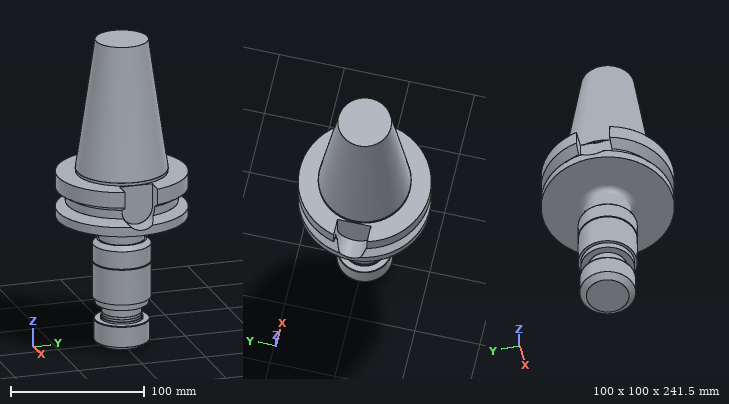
import cadquery as cq

overall_height = 241.5
taper_length = 101.9
taper_large_diameter = 69.8
taper_small_diameter = 40.3
gauge_land = 0.7
relief_diameter = 69.3
relief_height = 2.2

flange_diameter = 100.0
flange_thickness = 35.0
groove_diameter = 84.7
upper_rim_height = 12.3
lower_rim_height = 7.2
groove_flank_height = 4.3

slot_width = 25.5
slot_height = 30.7
slot_floor_distance = 35.2

neck_diameter = 34.5
neck_fillet = 4.8
collar_diameter = 44.5
collar_top = 83.5
collar_chamfer = 3.6
collar_bottom = 37.7
joint_height = 65.7
joint_width = 0.7
joint_depth = 0.2
step_diameter = 40.3
step_bottom = 32.5

stem_diameter = 30.0
stem_groove_diameter = 29.7
stem_groove_top = 25.3
stem_groove_bottom = 23.5
nut_hub_diameter = 31.9
nut_hub_top = 21.7
nut_diameter = 42.0
nut_top_diameter = 41.5
nut_top = 20.3
nut_edge_height = 0.7
nut_bottom_diameter = 31.9
nut_chamfer_height = 3.6

gauge_plane = overall_height - taper_length
land_bottom = gauge_plane - gauge_land
flange_top = land_bottom - relief_height
flange_bottom = flange_top - flange_thickness
flange_radius = flange_diameter / 2


def band(diameter, bottom, top, top_diameter=None):
    """Solid cylinder or cone about Z between two heights."""
    bottom_radius = diameter / 2
    top_radius = (top_diameter or diameter) / 2
    outline = [(0, bottom), (bottom_radius, bottom), (top_radius, top), (0, top)]
    return cq.Workplane("XZ").polyline(outline).close().revolve(360, (0, 0), (0, 1))


def make_shank():
    relief = band(relief_diameter, flange_top, land_bottom)
    land = band(taper_large_diameter, land_bottom, gauge_plane)
    cone = band(taper_large_diameter, gauge_plane, overall_height, taper_small_diameter)
    return relief.union(land).union(cone)


def make_flange():
    upper_rim = flange_top - upper_rim_height
    lower_rim = flange_bottom + lower_rim_height
    groove_top = upper_rim - groove_flank_height
    groove_bottom = lower_rim + groove_flank_height
    return (
        band(flange_diameter, flange_bottom, lower_rim)
        .union(band(flange_diameter, lower_rim, groove_bottom, groove_diameter))
        .union(band(groove_diameter, groove_bottom, groove_top))
        .union(band(groove_diameter, groove_top, upper_rim, flange_diameter))
        .union(band(flange_diameter, upper_rim, flange_top))
    )


def make_drive_slot(side):
    """Round-bottomed slot cutter, open at the top, on the +X or -X side."""
    half_width = slot_width / 2
    slot_bottom = flange_top - slot_height
    arc_center = slot_bottom + half_width
    return (
        cq.Workplane("YZ", origin=(side * slot_floor_distance, 0, 0))
        .moveTo(-half_width, flange_top)
        .lineTo(-half_width, arc_center)
        .threePointArc((0, slot_bottom), (half_width, arc_center))
        .lineTo(half_width, flange_top)
        .close()
        .extrude(side * flange_radius)
    )


def make_neck():
    """Neck that flares into the underside of the flange."""
    radius = neck_diameter / 2
    fillet_start = flange_bottom - neck_fillet
    fillet_end = radius + neck_fillet
    diagonal = neck_fillet / 2**0.5
    return (
        cq.Workplane("XZ")
        .moveTo(0, collar_top)
        .lineTo(radius, collar_top)
        .lineTo(radius, fillet_start)
        .threePointArc((fillet_end - diagonal, fillet_start + diagonal), (fillet_end, flange_bottom))
        .lineTo(0, flange_bottom)
        .close()
        .revolve(360, (0, 0), (0, 1))
    )


def make_collar():
    shoulder = collar_top - collar_chamfer
    joint_diameter = collar_diameter - 2 * joint_depth
    joint_bottom = joint_height - joint_width / 2
    joint_top = joint_height + joint_width / 2
    return (
        band(step_diameter, step_bottom, collar_bottom)
        .union(band(collar_diameter, collar_bottom, joint_bottom))
        .union(band(joint_diameter, joint_bottom, joint_top))
        .union(band(collar_diameter, joint_top, shoulder))
        .union(band(collar_diameter, shoulder, collar_top, collar_diameter - 2 * collar_chamfer))
    )


def make_stem():
    return (
        band(stem_diameter, nut_hub_top, stem_groove_bottom)
        .union(band(stem_groove_diameter, stem_groove_bottom, stem_groove_top))
        .union(band(stem_diameter, stem_groove_top, step_bottom))
    )


def make_nut():
    edge_bottom = nut_top - nut_edge_height
    return (
        band(nut_bottom_diameter, 0, nut_chamfer_height, nut_diameter)
        .union(band(nut_diameter, nut_chamfer_height, edge_bottom))
        .union(band(nut_diameter, edge_bottom, nut_top, nut_top_diameter))
        .union(band(nut_hub_diameter, nut_top, nut_hub_top))
    )


result = make_shank().union(make_flange()).union(make_neck())
result = result.union(make_collar()).union(make_stem()).union(make_nut())
for side in (-1, 1):
    result = result.cut(make_drive_slot(side))